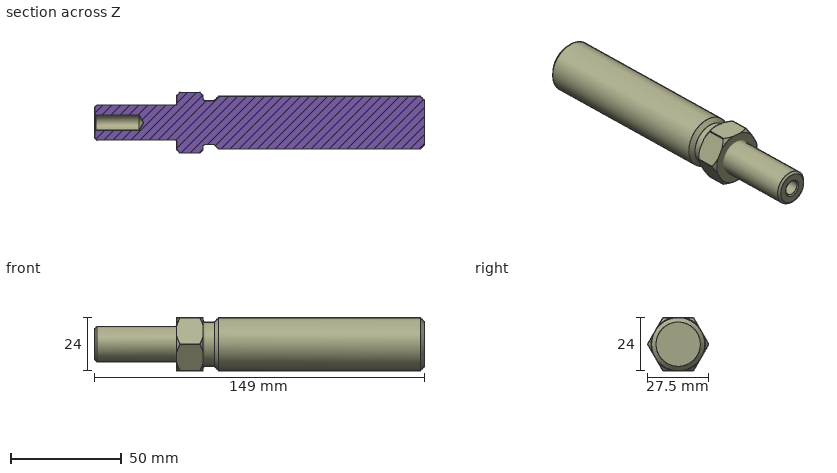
import cadquery as cq
import math

SHANK_LENGTH = 37.0
SHANK_DIAMETER = 16.0
SHANK_CHAMFER = 1.0
SHANK_ROOT_FILLET = 0.5

HEX_LENGTH = 12.0
HEX_ACROSS_FLATS = 24.0
HEX_CORNER_DIAMETER = 27.5
HEX_CHAMFER = 1.5

BODY_LENGTH = 100.0
BODY_DIAMETER = 24.0
BODY_CHAMFER = 2.0

NECK_LENGTH = 5.0
NECK_DIAMETER = 20.0
NECK_ROOT_FILLET = 1.0

HOLE_DIAMETER = 6.8
HOLE_MOUTH_DIAMETER = 8.0
HOLE_DEPTH = 20.0
DRILL_POINT_ANGLE = 118.0

HEX_START = SHANK_LENGTH
HEX_END = HEX_START + HEX_LENGTH
TOTAL_LENGTH = HEX_END + BODY_LENGTH


def revolve_about_x(profile):
    """Turn a closed XY outline, resting on the X axis, into a solid."""
    return profile.close().revolve(360, (0, 0, 0), (1, 0, 0))


def cylinder_along_x(start, length, diameter):
    return cq.Workplane("YZ", origin=(start, 0, 0)).circle(diameter / 2).extrude(length)


def fillet_mid_offset(radius):
    """Distance from the sharp root corner to the fillet arc's midpoint, along each side."""
    return radius * (1 - math.sqrt(0.5))


def make_shank():
    radius = SHANK_DIAMETER / 2
    mid = fillet_mid_offset(SHANK_ROOT_FILLET)
    profile = (
        cq.Workplane("XY")
        .lineTo(0, radius - SHANK_CHAMFER)
        .lineTo(SHANK_CHAMFER, radius)
        .lineTo(HEX_START - SHANK_ROOT_FILLET, radius)
        .threePointArc((HEX_START - mid, radius + mid), (HEX_START, radius + SHANK_ROOT_FILLET))
        .lineTo(HEX_START, 0)
    )
    return revolve_about_x(profile)


def make_hexagon():
    """Hexagon with flats facing +Z and -Z, its corners trimmed by a chamfered cylinder."""
    corner_to_corner = HEX_ACROSS_FLATS / math.cos(math.pi / 6)
    prism = cq.Workplane("YZ", origin=(HEX_START, 0, 0)).polygon(6, corner_to_corner).extrude(HEX_LENGTH)
    envelope = cylinder_along_x(HEX_START, HEX_LENGTH, HEX_CORNER_DIAMETER).edges().chamfer(HEX_CHAMFER)
    return prism.intersect(envelope)


def make_neck_and_body():
    neck_radius = NECK_DIAMETER / 2
    body_radius = BODY_DIAMETER / 2
    neck_end = HEX_END + NECK_LENGTH
    shoulder_end = neck_end + body_radius - neck_radius
    mid = fillet_mid_offset(NECK_ROOT_FILLET)
    profile = (
        cq.Workplane("XY")
        .moveTo(HEX_END, 0)
        .lineTo(HEX_END, neck_radius + NECK_ROOT_FILLET)
        .threePointArc((HEX_END + mid, neck_radius + mid), (HEX_END + NECK_ROOT_FILLET, neck_radius))
        .lineTo(neck_end, neck_radius)
        .lineTo(shoulder_end, body_radius)
        .lineTo(TOTAL_LENGTH - BODY_CHAMFER, body_radius)
        .lineTo(TOTAL_LENGTH, body_radius - BODY_CHAMFER)
        .lineTo(TOTAL_LENGTH, 0)
    )
    return revolve_about_x(profile)


def make_hole():
    """Blind hole in the shank end, with a 45 degree countersunk mouth and a conical bottom."""
    radius = HOLE_DIAMETER / 2
    mouth_radius = HOLE_MOUTH_DIAMETER / 2
    countersink_depth = mouth_radius - radius
    point_length = radius / math.tan(math.radians(DRILL_POINT_ANGLE / 2))
    profile = (
        cq.Workplane("XY")
        .lineTo(0, mouth_radius)
        .lineTo(countersink_depth, radius)
        .lineTo(HOLE_DEPTH, radius)
        .lineTo(HOLE_DEPTH + point_length, 0)
    )
    return revolve_about_x(profile)


result = make_shank().union(make_hexagon()).union(make_neck_and_body()).cut(make_hole())